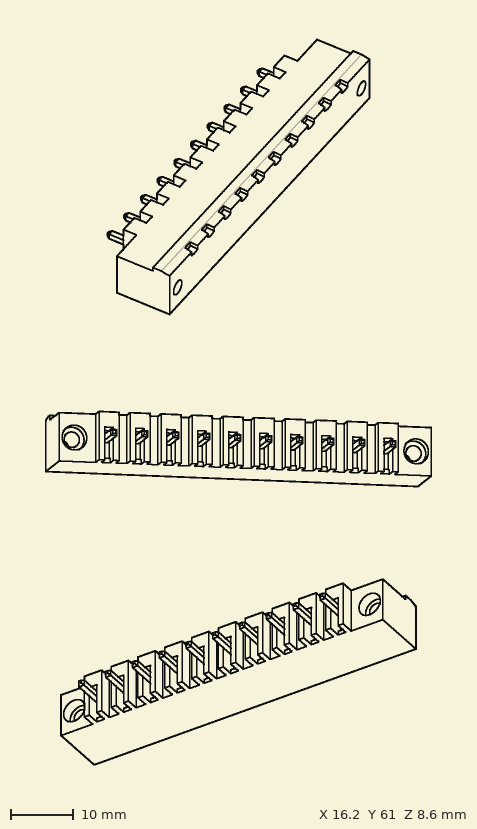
import cadquery as cq

length = 60.95
housing_depth = 12.3
body_height = 7.85
overall_height = 8.6

rail_width = 3.1
slope_width = 1.6
slope_drop = 0.335

pin_count = 10
row_length = 45.7
block_width = 3.3
gap_depth = 2.25
end_step_depth = 2.45

pocket_width = 1.4
pocket_height = 5.35
pocket_depth = 3.05
sill_height = 0.75

pin_size = 1.0
pin_projection = 3.9
tip_length = 0.5
tip_size = 0.5
axis_height = 3.9

hole_diameter = 2.5
counterbore_diameter = 4.0
counterbore_depth = 1.95
hole_end_distance = 2.5

notch_length = 1.3
notch_inner_width = 1.5
notch_outer_width = 1.8
notch_depth = 0.9
notch_floor_sag = 0.2

pitch = row_length / (pin_count - 1)
pin_positions = [i * pitch - row_length / 2 for i in range(pin_count)]
slope_end_height = overall_height - slope_drop


def box(x_start, x_end, y_center, width, z_bottom, z_top):
    """Box spanning the given X and Z ranges, centred on y_center."""
    return cq.Workplane("XY").box(
        x_end - x_start, width, z_top - z_bottom, centered=(False, True, False)
    ).translate((x_start, y_center, z_bottom))


def make_body():
    """Housing with its top rail, extruded along the row."""
    rail_start = housing_depth - rail_width
    profile = [
        (gap_depth, 0),
        (housing_depth, 0),
        (housing_depth, slope_end_height),
        (housing_depth - slope_width, overall_height),
        (rail_start, overall_height),
        (rail_start, body_height),
        (gap_depth, body_height),
    ]
    body = cq.Workplane("XZ").polyline(profile).close().extrude(length / 2, both=True)
    end_width = (length - row_length - block_width) / 2
    for side in (-1, 1):
        end_center = side * (length - end_width) / 2
        body = body.cut(box(gap_depth, end_step_depth, end_center, end_width, 0, body_height))
    return body


def make_pin(y):
    """Pin reaching back to the pocket floor, tapered at its free end."""
    shank_start = tip_length - pin_projection
    pin_bottom = axis_height - pin_size / 2
    shank = box(shank_start, pocket_depth, y, pin_size, pin_bottom, pin_bottom + pin_size)
    tip = (
        cq.Workplane("YZ", origin=(shank_start, y, axis_height))
        .rect(pin_size, pin_size)
        .workplane(offset=-tip_length)
        .rect(tip_size, tip_size)
        .loft()
    )
    return shank.union(tip)


def notch_section(x, y, width, floor_height):
    """Wire at the given X: upright sides, an open top and a floor dished along an arc."""
    half_width = width / 2
    side_height = floor_height + notch_floor_sag
    return (
        cq.Workplane("YZ", origin=(x, y, 0))
        .moveTo(-half_width, side_height)
        .threePointArc((0, floor_height), (half_width, side_height))
        .lineTo(half_width, overall_height)
        .lineTo(-half_width, overall_height)
        .close()
        .val()
    )


def make_notch(y):
    """Flared notch whose floor runs parallel to the slope."""
    floor_end = slope_end_height - notch_depth
    floor_rise = slope_drop * notch_length / slope_width
    inner = notch_section(housing_depth - notch_length, y, notch_inner_width, floor_end + floor_rise)
    outer = notch_section(housing_depth, y, notch_outer_width, floor_end)
    return cq.Workplane(cq.Solid.makeLoft([inner, outer], True))


def cut_mounting_hole(body, y):
    """Through hole along X with a counterbore from the pin side."""
    plane = cq.Workplane("YZ", origin=(end_step_depth, y, axis_height))
    hole = plane.circle(hole_diameter / 2).extrude(housing_depth - end_step_depth)
    counterbore = plane.circle(counterbore_diameter / 2).extrude(counterbore_depth)
    return body.cut(hole).cut(counterbore)


result = make_body()

for y in pin_positions:
    result = result.union(box(0, gap_depth, y, block_width, 0, body_height))

for y in pin_positions:
    result = result.cut(box(0, gap_depth, y, pocket_width, 0, sill_height))
    result = result.cut(box(0, pocket_depth, y, pocket_width, sill_height, pocket_height))
    result = result.cut(make_notch(y))
    result = result.union(make_pin(y))

for side in (-1, 1):
    result = cut_mounting_hole(result, side * (length / 2 - hole_end_distance))